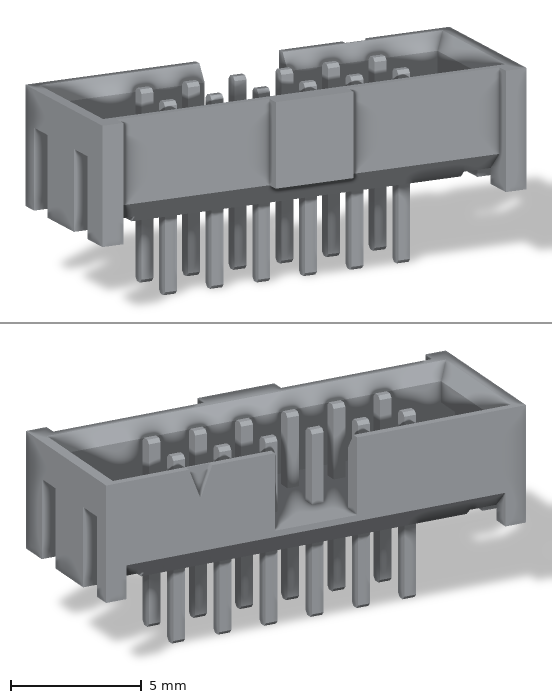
import cadquery as cq


length = 18.16
body_width = 6.0
rear_step = 0.55
shroud_height = 4.81
cavity_width = 4.5
end_wall = 0.89
cavity_length = length - 2 * end_wall
floor_top = 1.63
floor_bottom = 0.38
side_wall_bottom = 1.38
rear_face = body_width / 2 + rear_step

lead_in_width = 0.44
lead_in_depth = 0.65

window_inner = 1.13
window_width = cavity_width / 2 - window_inner
window_top = 3.29
floor_notch = 1.15

opening_width = 3.56
key_width = 3.32
mark_width = 1.0
mark_height = 1.27
mark_depth = 0.24

pins_per_row = 6
pitch = 2.0
pin_side = 0.5
pin_top = shroud_height - 0.15
pin_bottom = -3.0
pin_tip_inset = 0.13
pin_tip_height = 0.15


def block(x_range, y_range, z_range):
    """Box spanning the given (low, high) ranges."""
    size = [high - low for low, high in (x_range, y_range, z_range)]
    corner = (x_range[0], y_range[0], z_range[0])
    return cq.Workplane("XY").box(*size, centered=False).translate(corner)


def make_trough():
    """Long middle stretch, with 45 degree slopes under both sides."""
    half = body_width / 2
    slope = side_wall_bottom - floor_bottom
    outline = [
        (-half, shroud_height),
        (-half, side_wall_bottom),
        (-half + slope, floor_bottom),
        (half - slope, floor_bottom),
        (half, side_wall_bottom),
        (half, shroud_height),
    ]
    section = cq.Workplane("XZ").polyline(outline).close()
    return section.extrude(cavity_length / 2, both=True)


def make_end_wall(side):
    """End wall reaching down to the feet; side is -1 or +1 along Y."""
    centre = side * (length - end_wall) / 2
    y_range = (centre - end_wall / 2, centre + end_wall / 2)
    return block((-body_width / 2, rear_face), y_range, (0, shroud_height))


def make_key():
    """Raised key in the middle of the +X wall."""
    return block(
        (body_width / 2, rear_face),
        (-key_width / 2, key_width / 2),
        (side_wall_bottom, shroud_height),
    )


def make_cavity():
    """Pin cavity with a tapered lead-in at its mouth."""
    pocket = block(
        (-cavity_width / 2, cavity_width / 2),
        (-cavity_length / 2, cavity_length / 2),
        (floor_top, shroud_height),
    )
    lead_in = (
        cq.Workplane("XY", origin=(0, 0, shroud_height - lead_in_depth))
        .rect(cavity_width, cavity_length)
        .workplane(offset=lead_in_depth)
        .rect(cavity_width + 2 * lead_in_width, cavity_length + 2 * lead_in_width)
        .loft(ruled=True)
    )
    return pocket.union(lead_in)


def make_windows():
    """Four windows, one on each side of the tab in each end wall."""
    depth = end_wall + floor_notch
    x = window_inner + window_width / 2
    y = (length - depth) / 2
    centres = [(sx * x, sy * y) for sx in (-1, 1) for sy in (-1, 1)]
    return cq.Workplane("XY").pushPoints(centres).rect(window_width, depth).extrude(window_top)


def make_opening():
    """Polarising opening through the -X wall, down to the floor."""
    return block(
        (-body_width / 2, -cavity_width / 2),
        (-opening_width / 2, opening_width / 2),
        (floor_top, shroud_height),
    )


def make_pin_1_mark():
    """Triangular notch in the -X wall, beside the first pin."""
    first_pin_y = (pins_per_row - 1) / 2 * pitch
    return (
        cq.Workplane("YZ", origin=(-body_width / 2, first_pin_y, shroud_height))
        .polyline([(-mark_width / 2, 0), (mark_width / 2, 0), (0, -mark_height)])
        .close()
        .extrude(mark_depth)
    )


def make_pin(x, y):
    """Square pin with both tips bevelled on the X sides."""
    half = pin_side / 2
    tip = half - pin_tip_inset
    outline = [
        (-half, pin_bottom + pin_tip_height),
        (-tip, pin_bottom),
        (tip, pin_bottom),
        (half, pin_bottom + pin_tip_height),
        (half, pin_top - pin_tip_height),
        (tip, pin_top),
        (-tip, pin_top),
        (-half, pin_top - pin_tip_height),
    ]
    pin = cq.Workplane("XZ").polyline(outline).close().extrude(half, both=True)
    return pin.translate((x, y, 0))


shroud = make_trough().union(make_end_wall(-1)).union(make_end_wall(1)).union(make_key())
for cutter in (make_cavity(), make_windows(), make_opening(), make_pin_1_mark()):
    shroud = shroud.cut(cutter)

result = shroud
for row_x in (-pitch / 2, pitch / 2):
    for index in range(pins_per_row):
        pin_y = (index - (pins_per_row - 1) / 2) * pitch
        result = result.union(make_pin(row_x, pin_y))